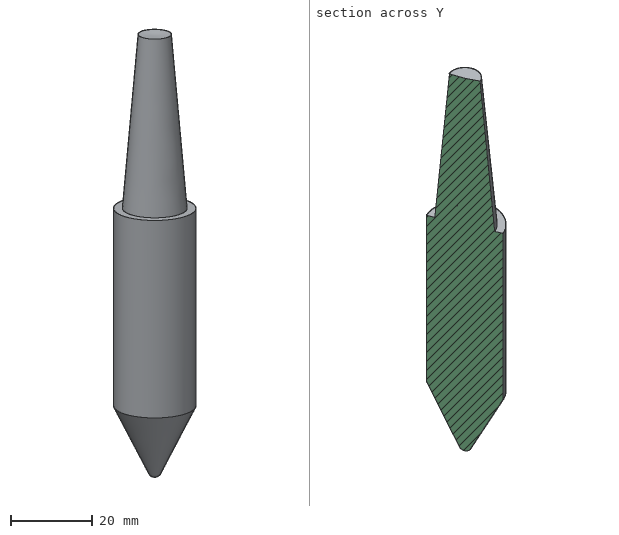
import cadquery as cq

total_length = 114.4
barrel_radius = 10.2
shank_length = 45.0
shank_base_radius = 8.0
shank_top_radius = 4.1
barrel_length = 51.0
tip_radius = 1.5
tip_height = 0.9
dish_depth = 0.2

bottom_z = -total_length / 2
top_z = total_length / 2
shoulder_z = top_z - shank_length
cone_base_z = shoulder_z - barrel_length


def dome_sphere_radius(rim_radius, height):
    """Radius of the sphere whose cap has the given rim radius and height."""
    return (rim_radius**2 + height**2) / (2 * height)


result = (
    cq.Workplane("XZ")
    .moveTo(0, bottom_z)
    .radiusArc((tip_radius, bottom_z + tip_height), -dome_sphere_radius(tip_radius, tip_height))
    .lineTo(barrel_radius, cone_base_z)
    .lineTo(barrel_radius, shoulder_z)
    .lineTo(shank_base_radius, shoulder_z)
    .lineTo(shank_top_radius, top_z)
    .lineTo(0, top_z - dish_depth)
    .close()
    .revolve(360, (0, 0, 0), (0, 1, 0))
)